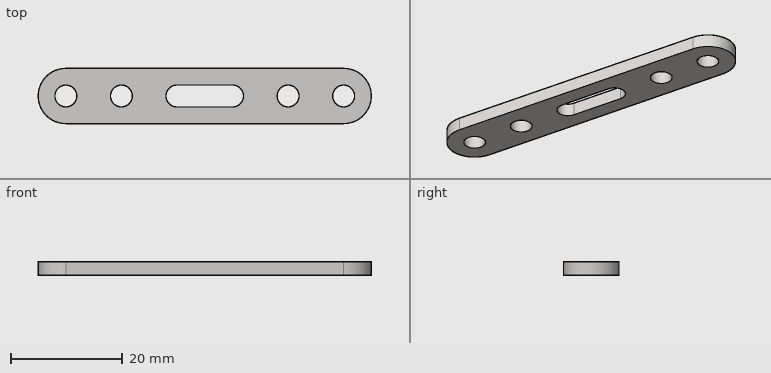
import cadquery as cq

length = 60.0
width = 10.0
thickness = 2.5

pitch = 10.0
hole_diameter = 3.9
slot_length = pitch + hole_diameter
inner_hole_x = 1.5 * pitch
outer_hole_x = inner_hole_x + pitch


def make_bar():
    """Bar with fully rounded ends, centred on X and Y, resting on Z = 0."""
    return cq.Workplane("XY").slot2D(length, width).extrude(thickness)


def make_hole_cutters():
    """Round through holes, mirrored about the middle of the bar."""
    centres = [(side * x, 0) for side in (-1, 1) for x in (inner_hole_x, outer_hole_x)]
    return cq.Workplane("XY").pushPoints(centres).circle(hole_diameter / 2).extrude(thickness)


def make_slot_cutter():
    """Central through slot, as wide as the holes and one pitch between end centres."""
    return cq.Workplane("XY").slot2D(slot_length, hole_diameter).extrude(thickness)


result = make_bar().cut(make_hole_cutters()).cut(make_slot_cutter())